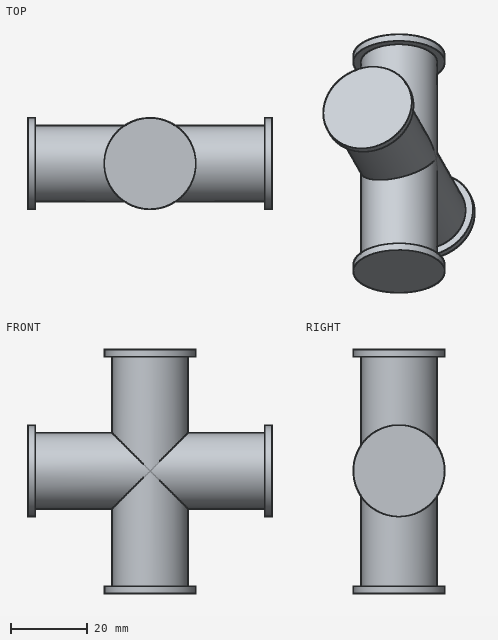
import cadquery as cq

overall_length = 64.0
flange_diameter = 24.0
flange_thickness = 2.0
flange_lip = 2.0
horizontal_rise = 0.2

tube_diameter = flange_diameter - 2 * flange_lip


def flanged_tube(plane):
    """Solid tube centred on the origin along the plane normal, with a flange at each end."""
    half_length = overall_length / 2
    tube = cq.Workplane(plane).circle(tube_diameter / 2).extrude(half_length, both=True)
    for flange_start in (-half_length, half_length - flange_thickness):
        flange = (
            cq.Workplane(plane)
            .workplane(offset=flange_start)
            .circle(flange_diameter / 2)
            .extrude(flange_thickness)
        )
        tube = tube.union(flange)
    return tube


horizontal_tube = flanged_tube("YZ").translate((0, 0, horizontal_rise))
vertical_tube = flanged_tube("XY")
result = vertical_tube.union(horizontal_tube)